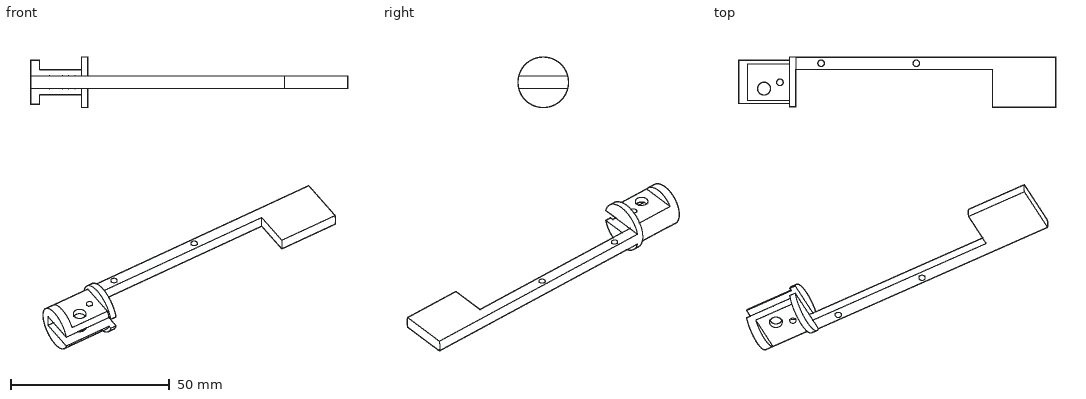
import cadquery as cq

length = 100.0
bar_diameter = 16.0
bar_radius = bar_diameter / 2

head_length = 18.0
head_diameter = 14.0
rim_length = 2.8
flange_thickness = 2.0
flange_start = head_length - flange_thickness
flats_thickness = 8.0

blade_thickness = 4.0
arm_width = 4.0
arm_inner_y = bar_radius - arm_width
paddle_length = 20.0

large_hole_diameter = 4.0
large_hole_center = (8.0, -2.0)
small_hole_diameter = 2.0
small_hole_centers = [
    (13.0, 0.0),
    (26.0, bar_radius - arm_width / 2),
    (56.0, bar_radius - arm_width / 2),
]


def cylinder_x(start, end, diameter):
    """Cylinder on the X axis between two X positions."""
    return cq.Workplane("YZ", origin=(start, 0, 0)).circle(diameter / 2).extrude(end - start)


def block(start, end, y_min, y_max, height):
    """Box centred on Z = 0 between the given X and Y limits."""
    return cq.Workplane("XY").box(
        end - start, y_max - y_min, height, centered=(False, False, True)
    ).translate((start, y_min, 0))


def make_head():
    """Round head with two flats, an end flange and a slot open toward -Y."""
    rim = cylinder_x(0, rim_length, head_diameter)
    flats = block(0, flange_start, -bar_radius, bar_radius, flats_thickness)
    core = cylinder_x(0, flange_start, head_diameter).intersect(flats)
    flange = cylinder_x(flange_start, head_length, bar_diameter)
    slot = block(0, head_length, -bar_radius, arm_inner_y, blade_thickness)
    return rim.union(core).union(flange).cut(slot)


def make_blade():
    """Arm and paddle, with outer edges following the round bar."""
    arm = block(flange_start, length, arm_inner_y, bar_radius, blade_thickness)
    paddle = block(length - paddle_length, length, -bar_radius, bar_radius, blade_thickness)
    return arm.union(paddle).intersect(cylinder_x(0, length, bar_diameter))


def hole_cutter(centers, diameter):
    """Cylinders along Z that pass through the whole part."""
    return cq.Workplane("XY").pushPoints(centers).circle(diameter / 2).extrude(bar_radius, both=True)


result = (
    make_head()
    .union(make_blade())
    .cut(hole_cutter([large_hole_center], large_hole_diameter))
    .cut(hole_cutter(small_hole_centers, small_hole_diameter))
)